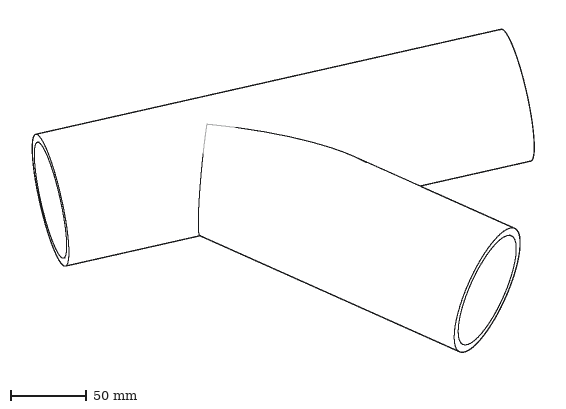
import cadquery as cq

total_length = 321.0
outer_diameter = 90.0
wall = 5.5
arm_length = 213.0
branch_angle = 45.0

inner_diameter = outer_diameter - 2 * wall
lower_length = total_length - arm_length


def main_cylinder(diameter):
    """Cylinder along Y over the full length of the main pipe."""
    return (
        cq.Workplane("XZ", origin=(0, -lower_length, 0))
        .circle(diameter / 2)
        .extrude(-total_length)
    )


def branch_cylinder(diameter):
    """Cylinder from the axis crossing, leaning from +Y towards +X."""
    return (
        cq.Workplane("XZ")
        .circle(diameter / 2)
        .extrude(-arm_length)
        .rotate((0, 0, 0), (0, 0, 1), -branch_angle)
    )


def pipe_tree(diameter):
    """Main pipe and branch joined as solid cylinders."""
    return main_cylinder(diameter).union(branch_cylinder(diameter))


result = pipe_tree(outer_diameter).cut(pipe_tree(inner_diameter))